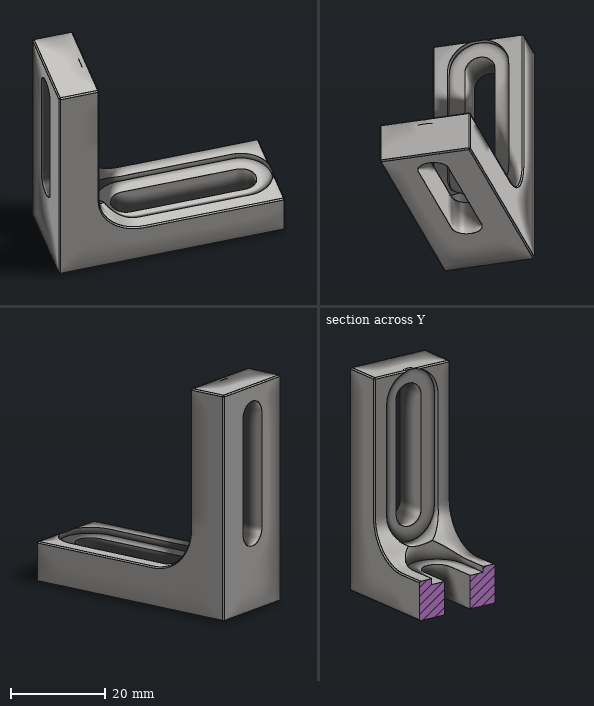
import cadquery as cq

width = 20.0
leg_length = 50.0
leg_thickness = 8.9
inner_radius = 10.0
edge_chamfer = 0.3

slot_width = 6.6
recess_width = 13.5
recess_depth = 1.3
recess_end_wall = 0.05
slot_outer_center = leg_length - recess_end_wall - recess_width / 2
slot_center_spacing = 25.4
slot_middle = slot_outer_center - slot_center_spacing / 2


def bracket_body():
    """L-shaped body, centred on X, with a rounded inner corner and broken edges."""
    body = (
        cq.Workplane("YZ")
        .moveTo(0, 0)
        .lineTo(leg_length, 0)
        .lineTo(leg_length, leg_thickness)
        .lineTo(leg_thickness + inner_radius, leg_thickness)
        .radiusArc((leg_thickness, leg_thickness + inner_radius), inner_radius)
        .lineTo(leg_thickness, leg_length)
        .lineTo(0, leg_length)
        .close()
        .extrude(width / 2, both=True)
    )
    side_outlines = body.faces("<X or >X").edges()
    cross_edges = body.edges("|X").edges("<Y or >Y or <Z or >Z")
    return body.newObject(side_outlines.vals() + cross_edges.vals()).chamfer(edge_chamfer)


def slot_prism(slot_breadth, bottom, top):
    """Round-ended slot along Y, spanning the heights bottom to top."""
    return (
        cq.Workplane("XY", origin=(0, slot_middle, bottom))
        .slot2D(slot_center_spacing + slot_breadth, slot_breadth, 90)
        .extrude(top - bottom)
    )


def stepped_slot():
    """Cutter for the lower leg: through slot with a wider recess from the inner face."""
    through_slot = slot_prism(slot_width, 0, leg_length)
    recess = slot_prism(recess_width, leg_thickness - recess_depth, leg_length)
    return through_slot.union(recess)


def swap_legs(cutter):
    """Carry a cutter from the lower leg to the upright leg by exchanging Y and Z."""
    return cutter.rotate((0, 0, 0), (1, 0, 0), 90).mirror("XZ")


lower_cutter = stepped_slot()
result = bracket_body().cut(lower_cutter).cut(swap_legs(lower_cutter))